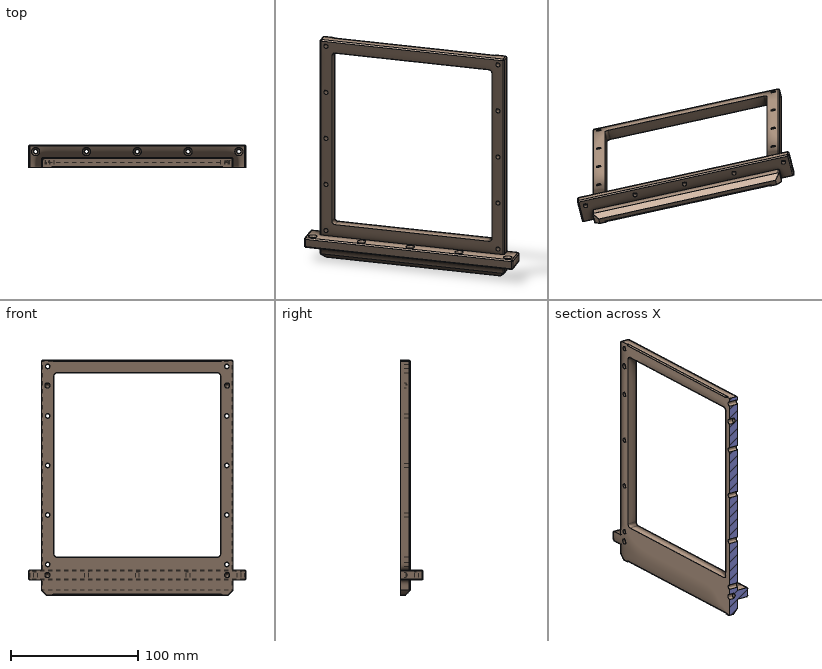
import cadquery as cq
import math

HEIGHT = 185.0
FRAME_WIDTH = 151.0
FRAME_THICKNESS = 8.0
BAR_WIDTH = 171.0
BAR_DEPTH = 18.0
BAR_HEIGHT = 8.1
BAR_BOTTOM = 11.8
BAR_CENTER = BAR_BOTTOM + BAR_HEIGHT / 2

RAIL = 10.0
FOOT_HEIGHT = 30.0
WINDOW_WIDTH = FRAME_WIDTH - 2 * RAIL
WINDOW_HEIGHT = HEIGHT - RAIL - FOOT_HEIGHT
WINDOW_RADIUS = 2.5

EDGE_CHAMFER = 1.0
FOOT_CHAMFER = 4.0
FRONT_CHAMFER = 1.0
FRONT_CHAMFER_LENGTH = 132.0

POST_HOLE_DIAMETER = 3.3
POST_HOLE_COUNT = 5
POST_HOLE_SPAN = 155.8
POST_HOLE_PITCH = POST_HOLE_SPAN / (POST_HOLE_COUNT - 1)
POST_HOLE_INSET = RAIL / 2
POST_HOLE_X = FRAME_WIDTH / 2 - POST_HOLE_INSET

BLIND_HOLE_DIAMETER = 4.0
BLIND_HOLE_DEPTH = 5.5
BLIND_HOLE_X = 70.7
BLIND_HOLE_TOP_INSET = 20.0
DRILL_POINT_ANGLE = 118

BAR_HOLE_DIAMETER = 3.1
BAR_SINK_DIAMETER = 6.5
SINK_ANGLE = 90
BAR_HOLE_COUNT = 5
BAR_HOLE_PITCH = 40.0
BAR_HOLE_BACK_INSET = 5.4


def frame():
    """Plate with cut foot corners, a sloped lower back edge and broken upper and back edges."""
    plate = cq.Workplane("XY").box(FRAME_WIDTH, FRAME_THICKNESS, HEIGHT, centered=(True, False, False))
    plate = plate.faces("<X or >X").edges("<Z").chamfer(FOOT_CHAMFER)
    plate = plate.faces("<Z").edges(">Y").chamfer(FOOT_CHAMFER)
    upper_and_back_edges = plate.faces("<X or >X or >Z").edges(">Y or (>Z and |Y)")
    return upper_and_back_edges.chamfer(EDGE_CHAMFER)


def bar():
    """Cross bar whose end and back edges are broken, leaving the front edges sharp."""
    block = cq.Workplane("XY").box(BAR_WIDTH, BAR_DEPTH, BAR_HEIGHT, centered=(True, False, False))
    block = block.edges("(<X or >X or >Y) and (not <Y)").chamfer(EDGE_CHAMFER)
    return block.translate((0, 0, BAR_BOTTOM))


def window():
    """Rounded rectangular block that opens the frame."""
    base = cq.Workplane("XY", origin=(0, 0, FOOT_HEIGHT))
    block = base.box(WINDOW_WIDTH, FRAME_THICKNESS, WINDOW_HEIGHT, centered=(True, False, False))
    return block.edges("|Y").fillet(WINDOW_RADIUS)


def front_edge_chamfer(edge_z, inward):
    """Wedge along the front edge at edge_z, its ends flaring at 45 degrees toward the back.

    inward is the Z direction from the edge into the plate.
    """
    front_half = FRONT_CHAMFER_LENGTH / 2
    back_half = front_half + FRONT_CHAMFER
    slope = [(0, edge_z), (FRONT_CHAMFER, edge_z), (0, edge_z + inward * FRONT_CHAMFER)]
    wedge = cq.Workplane("YZ").polyline(slope).close().extrude(back_half, both=True)
    flare = [
        (-front_half, 0),
        (front_half, 0),
        (back_half, FRONT_CHAMFER),
        (-back_half, FRONT_CHAMFER),
    ]
    return wedge.intersect(cq.Workplane("XY").polyline(flare).close().extrude(HEIGHT))


def post_holes():
    """Pins for the mirrored rows of through holes, starting near the top of each upright."""
    top_hole = HEIGHT - POST_HOLE_INSET
    heights = [top_hole - i * POST_HOLE_PITCH for i in range(POST_HOLE_COUNT)]
    centers = [(x, z) for x in (-POST_HOLE_X, POST_HOLE_X) for z in heights]
    pins = cq.Workplane("XZ").pushPoints(centers).circle(POST_HOLE_DIAMETER / 2)
    return pins.extrude(-FRAME_THICKNESS)


def drilled_hole(x, z):
    """Cutter for a blind hole entering from the front face and ending in a drill point."""
    radius = BLIND_HOLE_DIAMETER / 2
    point = radius / math.tan(math.radians(DRILL_POINT_ANGLE / 2))
    wall = BLIND_HOLE_DEPTH - point
    profile = [(0, 0), (radius, 0), (radius, wall), (0, BLIND_HOLE_DEPTH)]
    pin = cq.Workplane("XY").polyline(profile).close().revolve(360, (0, 0), (0, 1))
    return pin.translate((x, 0, z))


def drill_bar_holes(body):
    """Sink a row of screw holes through the bar, behind the frame."""
    reach = (BAR_HOLE_COUNT - 1) / 2
    xs = [(i - reach) * BAR_HOLE_PITCH for i in range(BAR_HOLE_COUNT)]
    y = BAR_DEPTH - BAR_HOLE_BACK_INSET
    top = cq.Workplane("XY", origin=(0, 0, BAR_BOTTOM + BAR_HEIGHT)).add(body)
    centers = top.pushPoints([(x, y) for x in xs])
    return centers.cskHole(BAR_HOLE_DIAMETER, BAR_SINK_DIAMETER, SINK_ANGLE, depth=BAR_HEIGHT)


part = frame().union(bar()).cut(window())
part = part.cut(front_edge_chamfer(HEIGHT, -1)).cut(front_edge_chamfer(0, 1))
part = part.cut(post_holes())
for hole_z in (BAR_CENTER, HEIGHT - BLIND_HOLE_TOP_INSET):
    for hole_x in (-BLIND_HOLE_X, BLIND_HOLE_X):
        part = part.cut(drilled_hole(hole_x, hole_z))
result = drill_bar_holes(part)